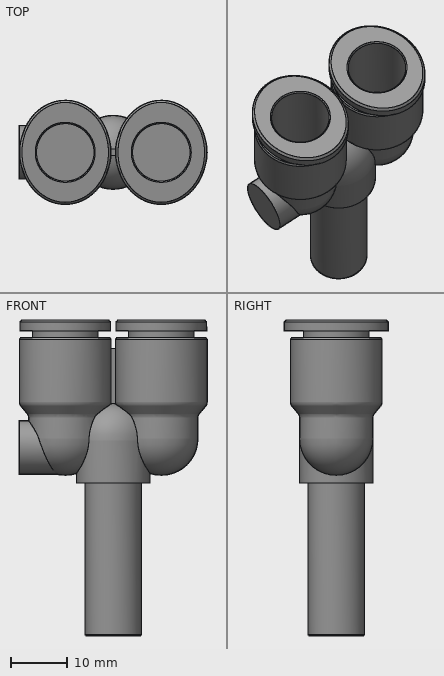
import cadquery as cq
total_height = 56.0
collar_underside = 54.05
body_top = 52.85
web_top = 50.95
taper_top = 41.05
taper_bottom = 39.05
dome_centre = 34.95
shoulder_dome_centre = 34.6
shoulder_bottom = 27.05

overall_width = 33.3
body_radius = 16.3 / 2
body_edge_drop = 0.35
body_edge_inset = 0.2
socket_offset = overall_width / 2 - body_radius
neck_radius = 6.5
taper_blend_radius = 1.0
rim_search_margin = 0.05

collar_radius_x = 8.05
collar_radius_y = 9.25
collar_edge_break = 0.4
sleeve_radius = 5.8
sleeve_root_fillet = 0.1
bore_radius = 5.1
bore_edge_break = 0.2
bore_bottom = taper_bottom

stem_radius = 5.05
stem_edge_break = 0.2
shoulder_radius = 6.55
web_thickness = 1.1
stub_radius = 4.75
stub_height = 33.4


def cylinder(radius, bottom, top, x=0):
    return cq.Workplane("XY", origin=(x, 0, bottom)).circle(radius).extrude(top - bottom)


def ball(radius, x, z):
    return cq.Workplane("XY").sphere(radius).translate((x, 0, z))


def socket_body(x):
    """Stepped round body with a tapered underside and a domed lower end."""
    profile = [
        (0, dome_centre),
        (neck_radius, dome_centre),
        (neck_radius, taper_bottom),
        (body_radius, taper_top),
        (body_radius, body_top - body_edge_drop),
        (body_radius - body_edge_inset, body_top),
        (0, body_top),
    ]
    turned = cq.Workplane("XZ").polyline(profile).close().revolve(360, (0, 0, 0), (0, 1, 0))
    taper_rims = turned.edges("%CIRCLE").filter(
        lambda rim: taper_bottom - rim_search_margin < rim.Center().z < taper_top + rim_search_margin
    )
    blended = taper_rims.fillet(taper_blend_radius)
    return blended.translate((x, 0, 0)).union(ball(neck_radius, x, dome_centre))


def release_collar(x):
    """Oval flange with a chamfered top rim, blended into the sleeve it stands on."""
    flange = (
        cq.Workplane("XY", origin=(x, 0, collar_underside))
        .ellipse(collar_radius_x, collar_radius_y)
        .extrude(total_height - collar_underside)
        .faces(">Z")
        .chamfer(collar_edge_break)
    )
    sleeve = cylinder(sleeve_radius, body_top - body_edge_drop, collar_underside, x)
    collar = flange.union(sleeve)
    return collar.faces("<Z[1]").edges("%CIRCLE").fillet(sleeve_root_fillet)


def tube_bore(x):
    """Blind tube bore with a countersunk mouth."""
    mouth = (
        cq.Workplane("XY", origin=(x, 0, total_height))
        .circle(bore_radius + bore_edge_break)
        .workplane(offset=-bore_edge_break)
        .circle(bore_radius)
        .loft()
    )
    return cylinder(bore_radius, bore_bottom, total_height, x).union(mouth)


def stem():
    """Plug-in stem with a domed shoulder between the sockets."""
    rod = cylinder(stem_radius, 0, shoulder_dome_centre).faces("<Z").chamfer(stem_edge_break)
    shoulder = cylinder(shoulder_radius, shoulder_bottom, shoulder_dome_centre)
    return rod.union(shoulder).union(ball(shoulder_radius, 0, shoulder_dome_centre))


def web():
    """Thin plate joining the two socket bodies above the stem."""
    height = web_top - dome_centre
    return cq.Workplane("XY", origin=(0, 0, dome_centre)).box(
        2 * socket_offset, web_thickness, height, centered=(True, True, False)
    )


def side_stub():
    """Round stub reaching from the left socket to the body's outer side."""
    return (
        cq.Workplane("YZ", origin=(-overall_width / 2, 0, stub_height))
        .circle(stub_radius)
        .extrude(body_radius)
    )


result = stem().union(web()).union(side_stub())
for socket_x in (-socket_offset, socket_offset):
    result = result.union(socket_body(socket_x)).union(release_collar(socket_x))
for socket_x in (-socket_offset, socket_offset):
    result = result.cut(tube_bore(socket_x))